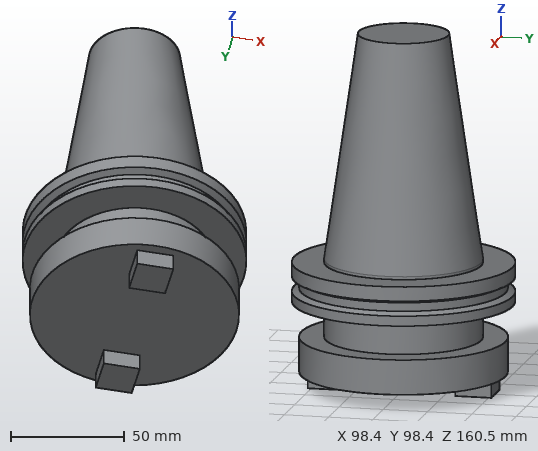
import cadquery as cq

total_height = 160.5
key_height = 8.0
base_top = 23.8
flange_bottom = 39.8
flange_top = 57.5
gauge_line = 58.9

groove_lower_edge = 44.3
groove_floor_bottom = 45.7
groove_floor_top = 49.6
groove_upper_edge = 51.0

flange_diameter = 98.4
base_diameter = 92.0
groove_diameter = 92.0
neck_diameter = 70.0
taper_small_diameter = 40.3

key_width = 16.2
key_inner_offset = 25.2


def turned_body():
    """Base disc, neck, grooved flange and tapered shank as one revolved profile."""
    base_radius = base_diameter / 2
    neck_radius = neck_diameter / 2
    flange_radius = flange_diameter / 2
    groove_radius = groove_diameter / 2
    profile = [
        (0, key_height),
        (base_radius, key_height),
        (base_radius, base_top),
        (neck_radius, base_top),
        (neck_radius, flange_bottom),
        (flange_radius, flange_bottom),
        (flange_radius, groove_lower_edge),
        (groove_radius, groove_floor_bottom),
        (groove_radius, groove_floor_top),
        (flange_radius, groove_upper_edge),
        (flange_radius, flange_top),
        (neck_radius, flange_top),
        (neck_radius, gauge_line),
        (taper_small_diameter / 2, total_height),
        (0, total_height),
    ]
    return cq.Workplane("XZ").polyline(profile).close().revolve(360, (0, 0, 0), (0, 1, 0))


def drive_keys():
    """Two square keys under the base, opposite each other along Y."""
    key_center_offset = key_inner_offset + key_width / 2
    return (
        cq.Workplane("XY")
        .pushPoints([(0, -key_center_offset), (0, key_center_offset)])
        .rect(key_width, key_width)
        .extrude(key_height)
    )


result = turned_body().union(drive_keys())